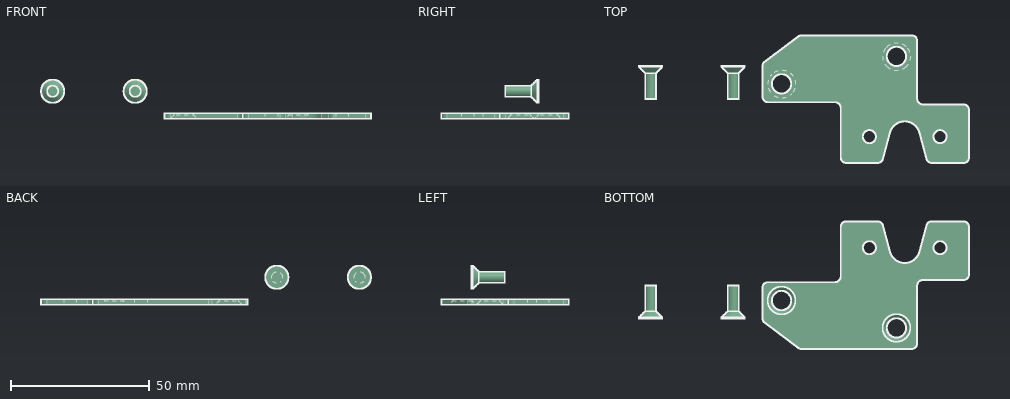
import cadquery as cq
import math

plate_length = 74.6
plate_width = 46.1
plate_thickness = 2.0
corner_radius = 2.0
arm_bottom = 21.9
foot_left = 28.3
foot_top = 21.2
arm_right = 55.9
bevel_length = 13.5
bevel_width = 10.1

mount_hole_diameter = 6.9
mount_countersink_lip = 0.5
mount_countersink_angle = 90
mount_hole_centers = [(6.9, 28.6), (48.4, 38.5)]
small_hole_diameter = 4.6
small_hole_spacing = 25.5
small_hole_height = 9.5

notch_x = 51.4
notch_radius = 5.5
notch_flare = math.radians(15)

screw_length = 12.0
shank_diameter = 4.0
head_diameter = 8.5
head_rim = 0.5
head_cone = (head_diameter - shank_diameter) / 2
screw_spacing = 29.8
screw_count = 2
overall_length = 119.2
overall_height = 14.2
head_face_y = plate_width - 11.0
first_screw_x = plate_length - overall_length + head_diameter / 2
screw_z = overall_height - head_diameter / 2


def make_plate():
    tangent_dx = notch_radius * math.cos(notch_flare)
    tangent_y = small_hole_height + notch_radius * math.sin(notch_flare)
    mouth_dx = tangent_dx + tangent_y * math.tan(notch_flare)
    outline = (
        cq.Workplane("XY")
        .moveTo(foot_left, 0)
        .lineTo(notch_x - mouth_dx, 0)
        .lineTo(notch_x - tangent_dx, tangent_y)
        .threePointArc((notch_x, small_hole_height + notch_radius), (notch_x + tangent_dx, tangent_y))
        .lineTo(notch_x + mouth_dx, 0)
        .lineTo(plate_length, 0)
        .lineTo(plate_length, foot_top)
        .lineTo(arm_right, foot_top)
        .lineTo(arm_right, plate_width)
        .lineTo(bevel_length, plate_width)
        .lineTo(0, plate_width - bevel_width)
        .lineTo(0, arm_bottom)
        .lineTo(foot_left, arm_bottom)
        .close()
    )
    blank = outline.extrude(plate_thickness)

    arc_ends = cq.selectors.BoxSelector(
        (notch_x - notch_radius, small_hole_height, -plate_thickness),
        (notch_x + notch_radius, small_hole_height + notch_radius, 2 * plate_thickness),
    )
    corners = blank.edges(cq.selectors.StringSyntaxSelector("|Z") - arc_ends)
    plate = corners.fillet(corner_radius)

    small_hole_centers = [
        (notch_x + side * small_hole_spacing / 2, small_hole_height) for side in (-1, 1)
    ]
    top = plate.faces(">Z").workplane(origin=(0, 0, plate_thickness))
    plate = top.pushPoints(small_hole_centers).hole(small_hole_diameter)

    countersink_depth = plate_thickness - mount_countersink_lip
    half_angle = math.radians(mount_countersink_angle / 2)
    countersink_diameter = mount_hole_diameter + 2 * countersink_depth * math.tan(half_angle)
    for x, y in mount_hole_centers:
        bottom = plate.faces("<Z").workplane(origin=(x, y, 0))
        plate = bottom.cskHole(mount_hole_diameter, countersink_diameter, mount_countersink_angle)
    return plate


def make_screw(x):
    shank_radius = shank_diameter / 2
    head_radius = head_diameter / 2
    screw = (
        cq.Workplane("XY")
        .moveTo(0, 0)
        .lineTo(head_radius, 0)
        .lineTo(head_radius, -head_rim)
        .lineTo(shank_radius, -head_rim - head_cone)
        .lineTo(shank_radius, -screw_length)
        .lineTo(0, -screw_length)
        .close()
        .revolve(360, (0, 0, 0), (0, 1, 0))
    )
    return screw.translate((x, head_face_y, screw_z))


plate = make_plate()
screws = [make_screw(first_screw_x + i * screw_spacing) for i in range(screw_count)]

result = cq.Compound.makeCompound([plate.val(), *[screw.val() for screw in screws]])